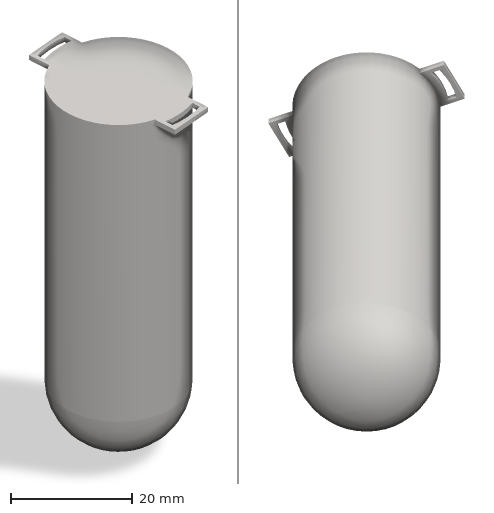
import cadquery as cq

total_height = 73.15
body_diameter = 24.5
tab_span = 31.8
tab_width = 8.35
tab_thickness = 1.0
slot_inner_radius = 13.6
slot_outer_radius = 15.15
slot_length = 6.8

body_radius = body_diameter / 2
cylinder_height = total_height - body_radius


def make_body():
    """Solid cylinder with a hemispherical bottom; the lowest point is at Z = 0."""
    cylinder = cq.Workplane("XY").workplane(offset=body_radius).circle(body_radius).extrude(cylinder_height)
    rounded_end = cq.Workplane("XY").sphere(body_radius).translate((0, 0, body_radius))
    return cylinder.union(rounded_end)


def make_tabs():
    """Flat bar across the top whose ends form the two side tabs."""
    tab_plane = cq.Workplane("XY").workplane(offset=total_height - tab_thickness)
    bar = tab_plane.rect(tab_span, tab_width).extrude(tab_thickness)
    ring = tab_plane.circle(slot_outer_radius).circle(slot_inner_radius).extrude(tab_thickness)
    slot_band = tab_plane.rect(tab_span, slot_length).extrude(tab_thickness)
    return bar.cut(ring.intersect(slot_band))


result = make_body().union(make_tabs())